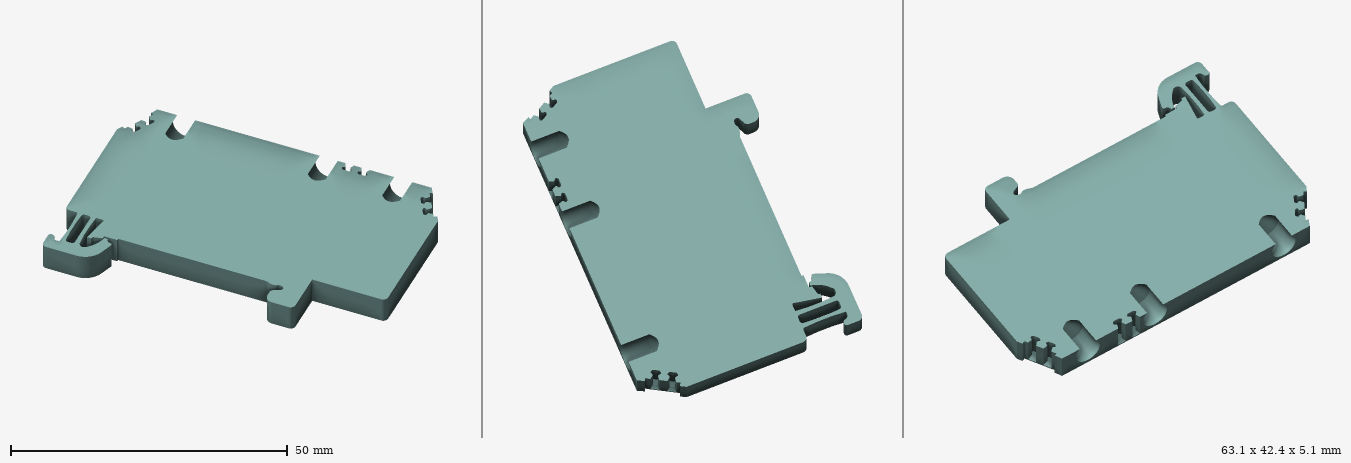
import cadquery as cq
import math

LENGTH = 63.1
HEIGHT = 42.4
THICKNESS = 5.1
CORNER_RADIUS = 0.95

SHOULDER_Y = 10.85
RAIL_SEAT_Y = 7.2
LIP_Y = 6.8

SLOPE_ANGLE = math.radians(60)
SLOPE_TOP = (3.9, HEIGHT - 2.35)
SLOPE_LENGTH = 5.5
SLOPE_BOTTOM = (
    SLOPE_TOP[0] - SLOPE_LENGTH * math.cos(SLOPE_ANGLE),
    SLOPE_TOP[1] - SLOPE_LENGTH * math.sin(SLOPE_ANGLE),
)
END_TOP_Y = 34.6

HOLE_CENTRES_X = (10.2, 38.25, LENGTH - 10.2)
HOLE_RADIUS = 2.6
HOLE_AXIS_Z = THICKNESS - 1.9
HOLE_DEPTH = 5.5
HOLE_CONE_LENGTH = 3.8

SOCKET_PITCH = 3.1
SOCKET_PAIR_X = 43.9
SLOPE_PAIR_OFFSET = 2.4
SOCKET_FLOOR = 0.55
SOCKET_MOUTH_FLOOR = 0.25
SOCKET_MOUTH_WIDTH = 1.65
SOCKET_NECK_WIDTH = 1.0
SOCKET_WIDTH = 1.9
SOCKET_MOUTH_DEPTH = 0.75
SOCKET_NECK_DEPTH = 0.95
SOCKET_DEPTH = 1.8
SOCKET_BEVEL = 0.3

STEM_OUTER_X = 2.5
STEM_WAIST = 0.2
SLOT_LEFT_X = 3.5
SLOT_RIGHT_X = 5.2
SLOT_BOTTOM_Y = 2.85
SLOT_CORNER = 0.5
STEM_ROOT_RADIUS = 0.3
STEM_INNER_X = 6.1
STEM_MIDDLE_Y = 6.7
TOE_NOTCH_Y = 2.4

FIXED_FOOT_X = 48.6
FIXED_FOOT_BOTTOM_Y = 2.3
FIXED_FOOT_TIP_X = 42.85


def left_corner_points():
    """Stepped edge of the left upper corner, from the top edge down to the end face."""
    return [
        (4.55, HEIGHT),
        (4.1, HEIGHT - 0.95),
        (3.85, HEIGHT - 1.3),
        (4.4, HEIGHT - 1.5),
        SLOPE_TOP,
        SLOPE_BOTTOM,
        (0.55, 35.6),
        (0, END_TOP_Y),
    ]


def make_plate():
    left_corner = left_corner_points()
    right_corner = [(LENGTH - x, y) for x, y in left_corner]
    bend = CORNER_RADIUS * (1 - math.sqrt(0.5))
    root_bend = STEM_ROOT_RADIUS * (1 - math.sqrt(0.5))

    outline = cq.Workplane("XY").moveTo(*left_corner[0])
    for point in left_corner[1:]:
        outline = outline.lineTo(*point)

    outline = (
        outline.lineTo(0, SHOULDER_Y + CORNER_RADIUS)
        .threePointArc((bend, SHOULDER_Y + bend), (CORNER_RADIUS, SHOULDER_Y))
        .lineTo(STEM_OUTER_X - STEM_ROOT_RADIUS, SHOULDER_Y)
        .threePointArc(
            (STEM_OUTER_X - root_bend, SHOULDER_Y - root_bend),
            (STEM_OUTER_X, SHOULDER_Y - STEM_ROOT_RADIUS),
        )
        .threePointArc((STEM_OUTER_X + STEM_WAIST, STEM_MIDDLE_Y), (STEM_OUTER_X, TOE_NOTCH_Y))
        .lineTo(1.8, TOE_NOTCH_Y)
        .threePointArc((1.4, 2.7), (1.2, 3.15))
        .threePointArc((1.0, 3.5), (0.6, 3.6))
        .lineTo(0.3, 3.6)
        .lineTo(0, 3.3)
    )
    outline = (
        outline.lineTo(0, CORNER_RADIUS)
        .threePointArc((bend, bend), (CORNER_RADIUS, 0))
        .lineTo(6.95, 0)
        .tangentArcPoint((10.65, 2.6), relative=False)
        .lineTo(11.55, 5.05)
        .threePointArc((11.5, 5.4), (11.25, 5.55))
        .threePointArc((10.6, 5.8), (10.35, 6.4))
        .lineTo(9.65, 6.45)
    )
    outline = (
        outline.threePointArc((9.1, 4.75), (7.8, 3.1))
        .threePointArc((6.8, 2.65), (STEM_INNER_X, 3.35))
        .threePointArc((STEM_INNER_X - STEM_WAIST, STEM_MIDDLE_Y), (STEM_INNER_X, SHOULDER_Y))
        .lineTo(7.4, SHOULDER_Y)
        .threePointArc((7.65, 10.7), (7.65, 10.5))
        .lineTo(6.7, 5.35)
        .lineTo(7.5, 5.35)
        .threePointArc((7.6, 5.7), (7.9, 5.85))
        .lineTo(9.35, 6.2)
    )
    outline = (
        outline.lineTo(9.45, LIP_Y)
        .lineTo(12.0, LIP_Y)
        .lineTo(12.05, RAIL_SEAT_Y)
        .lineTo(41.15, RAIL_SEAT_Y)
        .lineTo(41.8, 6.95)
        .tangentArcPoint((43.2, LIP_Y), relative=False)
    )
    outline = (
        outline.threePointArc((43.65, 7.05), (44.2, 7.05))
        .threePointArc((44.75, 6.55), (44.35, 5.9))
        .lineTo(43.55, 5.55)
        .threePointArc((43.05, 5.25), (FIXED_FOOT_TIP_X, 4.7))
        .lineTo(FIXED_FOOT_TIP_X, 3.8)
        .threePointArc((43.3, 2.7), (44.35, FIXED_FOOT_BOTTOM_Y))
        .lineTo(FIXED_FOOT_X - CORNER_RADIUS, FIXED_FOOT_BOTTOM_Y)
        .threePointArc(
            (FIXED_FOOT_X - bend, FIXED_FOOT_BOTTOM_Y + bend),
            (FIXED_FOOT_X, FIXED_FOOT_BOTTOM_Y + CORNER_RADIUS),
        )
    )
    outline = (
        outline.lineTo(FIXED_FOOT_X, SHOULDER_Y)
        .lineTo(LENGTH - CORNER_RADIUS, SHOULDER_Y)
        .threePointArc((LENGTH - bend, SHOULDER_Y + bend), (LENGTH, SHOULDER_Y + CORNER_RADIUS))
    )
    for point in reversed(right_corner):
        outline = outline.lineTo(*point)
    return outline.close().extrude(THICKNESS)


def make_stem_slot():
    """Closed slot between the stems; its outer side bows with the outer stem."""
    return (
        cq.Workplane("XY")
        .moveTo(SLOT_LEFT_X, SHOULDER_Y)
        .threePointArc((SLOT_LEFT_X - STEM_WAIST, STEM_MIDDLE_Y), (SLOT_LEFT_X, SLOT_BOTTOM_Y))
        .lineTo(SLOT_RIGHT_X, SLOT_BOTTOM_Y)
        .lineTo(SLOT_RIGHT_X, SHOULDER_Y)
        .close()
        .extrude(THICKNESS)
        .edges("|Z")
        .fillet(SLOT_CORNER)
    )


def make_hole(centre_x):
    """Round hole along Y with a conical end."""
    return (
        cq.Workplane("XY")
        .polyline([
            (0, 0),
            (HOLE_RADIUS, 0),
            (HOLE_RADIUS, -HOLE_DEPTH),
            (0, -HOLE_DEPTH - HOLE_CONE_LENGTH),
        ])
        .close()
        .revolve(360, (0, 0), (0, 1))
        .translate((centre_x, HEIGHT, HOLE_AXIS_Z))
    )


def make_socket(x, y, turn):
    """Marker socket opening towards +Y before it is turned about Z by turn degrees."""
    half_mouth = SOCKET_MOUTH_WIDTH / 2
    half_neck = SOCKET_NECK_WIDTH / 2
    half_width = SOCKET_WIDTH / 2
    half_outline = [
        (half_mouth, 0),
        (half_neck, -SOCKET_MOUTH_DEPTH),
        (half_neck, -SOCKET_NECK_DEPTH),
        (half_width, -SOCKET_NECK_DEPTH - SOCKET_BEVEL),
        (half_width, -SOCKET_DEPTH + SOCKET_BEVEL),
        (half_width - SOCKET_BEVEL, -SOCKET_DEPTH),
    ]
    other_half = [(-u, v) for u, v in reversed(half_outline)]
    pocket = cq.Workplane("XY").polyline(half_outline + other_half).close().extrude(THICKNESS)

    floor_side = (
        cq.Workplane("YZ")
        .polyline([
            (0, SOCKET_MOUTH_FLOOR),
            (-SOCKET_MOUTH_DEPTH, SOCKET_FLOOR),
            (-SOCKET_DEPTH, SOCKET_FLOOR),
            (-SOCKET_DEPTH, THICKNESS),
            (0, THICKNESS),
        ])
        .close()
        .extrude(half_width, both=True)
    )
    return pocket.intersect(floor_side).rotate((0, 0, 0), (0, 0, 1), turn).translate((x, y, 0))


result = make_plate().cut(make_stem_slot())

for hole_x in HOLE_CENTRES_X:
    result = result.cut(make_hole(hole_x))

slope_turn = math.degrees(SLOPE_ANGLE)
for offset in (-SOCKET_PITCH / 2, SOCKET_PITCH / 2):
    along_slope = SLOPE_PAIR_OFFSET + offset
    slope_x = SLOPE_TOP[0] - along_slope * math.cos(SLOPE_ANGLE)
    slope_y = SLOPE_TOP[1] - along_slope * math.sin(SLOPE_ANGLE)
    result = result.cut(make_socket(SOCKET_PAIR_X + offset, HEIGHT, 0))
    result = result.cut(make_socket(slope_x, slope_y, slope_turn))
    result = result.cut(make_socket(LENGTH - slope_x, slope_y, -slope_turn))